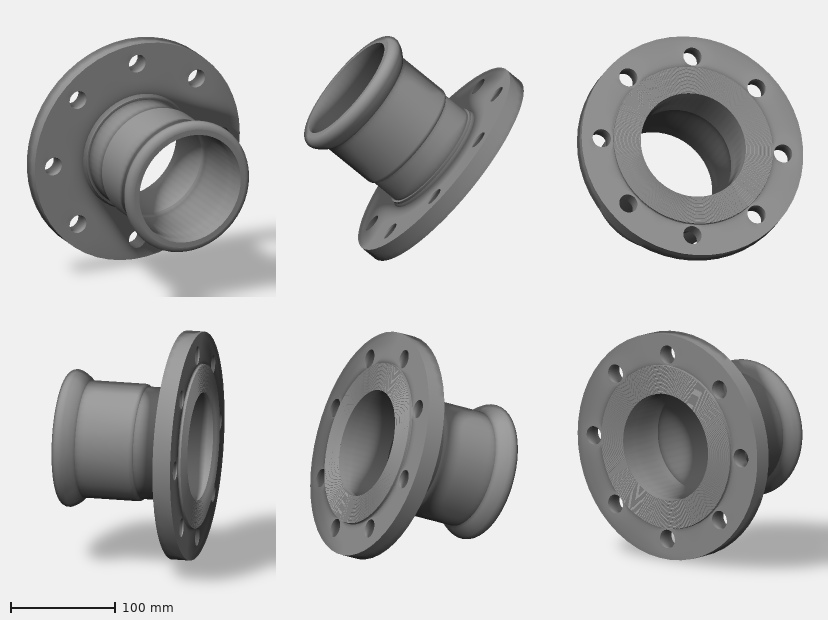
import cadquery as cq
import math

flange_diameter = 220.0
flange_front = 2.9
flange_back = 20.2
bolt_hole_diameter = 18.0
bolt_hole_count = 8
bolt_circle_diameter = 180.0

raised_face_diameter = 158.0
raised_face_root_diameter = 159.0
raised_face_flare_start = 2.2
groove_count = 34
groove_depth = 0.2

collar_root_diameter = 116.5
collar_diameter = 112.9
collar_taper_end = 22.9
collar_end = 25.3

bore_diameter = 104.0
tube_diameter = 108.0
socket_diameter = 112.9
socket_bore_diameter = 109.0
step_start = 53.2
step_end = 57.5

bead_start = 110.0
flare_middle = (116.5, 62.7)
bead_edge = (121.9, 65.5)
bead_crest = (126.3, 66.0)
mouth_edge = (132.0, 59.8)


def shoulder_middle(small_radius, large_radius):
    """Middle point of a convex shoulder arc that ends parallel to the axis."""
    length = step_end - step_start
    rise = large_radius - small_radius
    arc_radius = (length**2 + rise**2) / (2 * rise)
    half_angle = math.asin(length / arc_radius) / 2
    return (
        step_end - arc_radius * math.sin(half_angle),
        large_radius - arc_radius * (1 - math.cos(half_angle)),
    )


def make_body():
    """Revolve the wall section, drawn as (axial, radial) points, about X."""
    bore_radius = bore_diameter / 2
    socket_radius = socket_diameter / 2
    socket_bore_radius = socket_bore_diameter / 2
    outer_shoulder = shoulder_middle(tube_diameter / 2, socket_radius)
    inner_shoulder = shoulder_middle(bore_radius, socket_bore_radius)
    outline = (
        cq.Workplane("XY")
        .moveTo(0, bore_radius)
        .lineTo(0, raised_face_diameter / 2)
        .lineTo(raised_face_flare_start, raised_face_diameter / 2)
        .lineTo(flange_front, raised_face_root_diameter / 2)
        .lineTo(flange_front, flange_diameter / 2)
        .lineTo(flange_back, flange_diameter / 2)
        .lineTo(flange_back, collar_root_diameter / 2)
        .lineTo(collar_taper_end, collar_diameter / 2)
        .lineTo(collar_end, collar_diameter / 2)
        .lineTo(collar_end, tube_diameter / 2)
        .lineTo(step_start, tube_diameter / 2)
        .threePointArc(outer_shoulder, (step_end, socket_radius))
        .lineTo(bead_start, socket_radius)
        .threePointArc(flare_middle, bead_edge)
        .threePointArc(bead_crest, mouth_edge)
        .lineTo(mouth_edge[0], socket_bore_radius)
        .lineTo(step_end, socket_bore_radius)
        .threePointArc(inner_shoulder, (step_start, bore_radius))
        .close()
    )
    return outline.revolve(360, (0, 0, 0), (1, 0, 0))


def make_serrations():
    """Rings of triangular section that cut V grooves into the sealing face."""
    inner_radius = bore_diameter / 2
    pitch = (raised_face_diameter / 2 - inner_radius) / groove_count
    teeth = cq.Workplane("XY").moveTo(-groove_depth, inner_radius).lineTo(0, inner_radius)
    for index in range(groove_count):
        root_radius = inner_radius + index * pitch
        teeth = teeth.lineTo(groove_depth, root_radius + pitch / 2)
        teeth = teeth.lineTo(0, root_radius + pitch)
    teeth = teeth.lineTo(-groove_depth, raised_face_diameter / 2).close()
    return teeth.revolve(360, (0, 0, 0), (1, 0, 0))


def make_bolt_holes():
    """Cylinders through the flange, the first one on the Y axis."""
    return (
        cq.Workplane("YZ")
        .polarArray(bolt_circle_diameter / 2, 0, 360, bolt_hole_count)
        .circle(bolt_hole_diameter / 2)
        .extrude(flange_back)
    )


result = make_body().cut(make_serrations()).cut(make_bolt_holes())